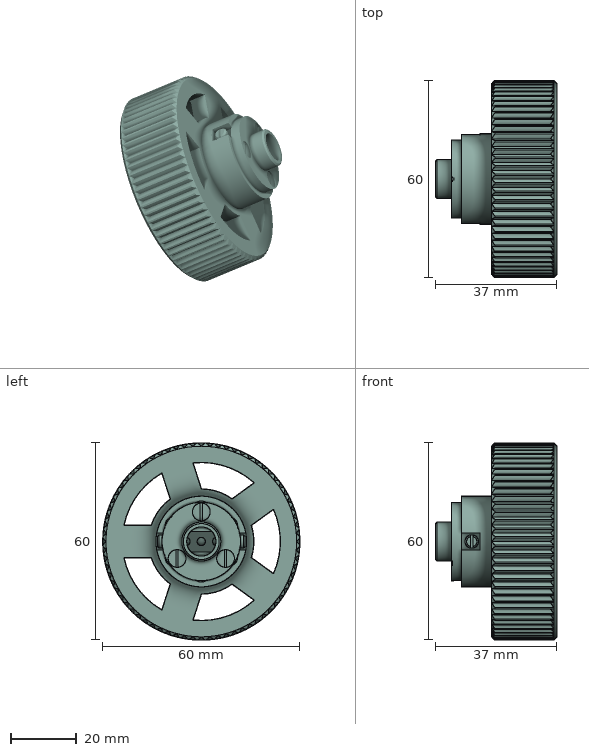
import cadquery as cq
import math


wheel_radius = 30.0
wheel_width = 19.95
rim_bore_radius = 24.5
web_thickness = 5.0
web_fillet = 1.75

groove_count = 72
groove_depth = 1.0
groove_mouth = 2.1
groove_overrun = 0.3

spoke_count = 5
spoke_width = 10.0
window_inner_radius = 16.0
window_outer_radius = 24.0

hub_radius = 13.8
hub_length = 9.2
rear_boss_radius = 8.9
slot_width = 5.05
slot_length = 5.7

hex_across_flats = 21.95
hex_corner_radius = 2.2

flange_radius = 11.95
flange_thickness = 3.0
sleeve_radius = 5.95
sleeve_length = 4.85
sleeve_chamfer = 0.5

bore_radius = 4.45
flat_bore_width = 6.25
bore_floor_x = -3.4

flange_screw_circle = 9.0
flange_screw_radius = 2.7
flange_screw_recess = 0.35
flange_screw_angles = (90.0, -35.0, 215.0)
screw_slot_width = 0.7
screw_slot_depth = 0.5

clamp_screw_x = -6.0
clamp_head_radius = 2.05
clamp_head_top = 13.3
clamp_head_chamfer = 0.5
point_radius = 1.25
point_reach = 1.0

hub_face_x = -hub_length
flange_face_x = hub_face_x - flange_thickness
sleeve_end_x = flange_face_x - sleeve_length
root_radius = wheel_radius - groove_depth
hex_flat = hex_across_flats / 2


def disc(radius, start_x, end_x):
    """Cylinder around the wheel axis."""
    return cq.Workplane("YZ").workplane(offset=start_x).circle(radius).extrude(end_x - start_x)


def hex_prism(start_x, end_x):
    """Hexagon with rounded corners, two of them on the Z axis."""
    corner_diameter = hex_across_flats / math.cos(math.radians(30))
    return (
        cq.Workplane("YZ")
        .workplane(offset=start_x)
        .transformed(rotate=(0, 0, 90))
        .polygon(6, corner_diameter)
        .extrude(end_x - start_x)
        .edges("|X")
        .fillet(hex_corner_radius)
    )


def rim_and_web():
    """Solid wheel hollowed from the rear, leaving the web at the front."""
    blank = disc(wheel_radius, 0, wheel_width).faces("<X or >X").chamfer(groove_depth)
    cavity = disc(rim_bore_radius, web_thickness, wheel_width).faces("<X").edges().fillet(web_fillet)
    rear_boss = disc(rear_boss_radius, 0, wheel_width)
    return blank.cut(cavity).union(rear_boss)


def tread_grooves():
    """V grooves along the tread, one of them on the Y axis, each with a sloping rear end."""
    mouth_edge = math.sqrt(wheel_radius**2 - (groove_mouth / 2) ** 2)
    widening = (mouth_edge + groove_overrun - root_radius) / (mouth_edge - root_radius)
    half_width = groove_mouth / 2 * widening
    top = mouth_edge + groove_overrun
    crest_x = wheel_width - groove_depth
    vee = (
        cq.Workplane("YZ")
        .polyline([(root_radius, 0), (top, half_width), (top, -half_width)])
        .close()
        .extrude(wheel_width)
    )
    side_profile = [
        (0, root_radius),
        (crest_x - groove_depth, root_radius),
        (crest_x - root_radius - groove_depth + top, top),
        (0, top),
    ]
    side = cq.Workplane("XY").polyline(side_profile).close().extrude(half_width, both=True)
    groove = vee.intersect(side).val()
    pitch = 360 / groove_count
    return [groove.rotate((0, 0, 0), (1, 0, 0), i * pitch) for i in range(groove_count)]


def spoke_windows():
    """Ring sectors between straight spokes, the first spoke on +Y."""
    ring = disc(window_outer_radius, 0, web_thickness + web_fillet)
    ring = ring.cut(disc(window_inner_radius, 0, web_thickness + web_fillet))
    for i in range(spoke_count):
        spoke = cq.Workplane("XY").box(
            wheel_width, wheel_radius, spoke_width, centered=(True, False, True)
        )
        ring = ring.cut(spoke.rotate((0, 0, 0), (1, 0, 0), i * 360 / spoke_count))
    return ring


def hub_slots():
    """Slots through both sides of the hub, open at its front face."""
    return (
        cq.Workplane("XY")
        .box(slot_length, 2 * hub_radius, slot_width, centered=(False, True, True))
        .translate((hub_face_x, 0, 0))
    )


def make_wheel():
    wheel = rim_and_web()
    wheel = cq.Workplane(wheel.val().cut(*tread_grooves()))
    wheel = wheel.cut(spoke_windows())
    hub = disc(hub_radius, hub_face_x, 0).cut(hub_slots())
    return wheel.union(hub).cut(hex_prism(hub_face_x, 0))


def adapter_bore():
    """Round bore down to the hub face, then a bore with flats at +Z and -Z."""
    round_bore = disc(bore_radius, sleeve_end_x, bore_floor_x)
    round_bore = round_bore.rotate((0, 0, 0), (1, 0, 0), 90)
    flat_length = bore_floor_x - hub_face_x
    outside_flats = cq.Workplane("XY").box(
        flat_length, 2 * bore_radius, 2 * bore_radius, centered=(False, True, True)
    )
    between_flats = cq.Workplane("XY").box(
        flat_length, 2 * bore_radius, flat_bore_width, centered=(False, True, True)
    )
    flat_sides = outside_flats.cut(between_flats).translate((hub_face_x, 0, 0))
    return round_bore.cut(flat_sides)


def flange_screw_cut(angle):
    """Shallow round recess with a vertical screwdriver slot in its floor."""
    y = flange_screw_circle * math.cos(math.radians(angle))
    z = flange_screw_circle * math.sin(math.radians(angle))
    recess = disc(flange_screw_radius, 0, flange_screw_recess)
    slot_reach = flange_screw_recess + screw_slot_depth
    slot = cq.Workplane("YZ").rect(screw_slot_width, 2 * flange_screw_radius).extrude(slot_reach)
    slot = slot.intersect(disc(flange_screw_radius, 0, slot_reach))
    return recess.union(slot).translate((flange_face_x, y, z))


def clamp_screw_head():
    """Chamfered slotted head standing on the +Y flat of the hexagon."""
    height = clamp_head_top - hex_flat
    head = cq.Workplane("XZ").circle(clamp_head_radius).extrude(-height)
    head = head.faces(">Y").chamfer(clamp_head_chamfer)
    slot = cq.Workplane("XY").box(screw_slot_width, 2 * screw_slot_depth, 2 * clamp_head_radius)
    head = head.cut(slot.translate((0, height, 0)))
    return head.translate((clamp_screw_x, hex_flat, 0))


def domed_points():
    """Balls at the bore wall on both Y sides and at the centre of the bore floor."""
    wall_y = bore_radius + point_radius - point_reach
    centres = [
        (clamp_screw_x, wall_y, 0),
        (clamp_screw_x, -wall_y, 0),
        (bore_floor_x, 0, 0),
    ]
    return [cq.Workplane("XY").sphere(point_radius).translate(centre) for centre in centres]


def make_adapter():
    sleeve = disc(sleeve_radius, sleeve_end_x, flange_face_x).faces("<X").chamfer(sleeve_chamfer)
    adapter = disc(flange_radius, flange_face_x, hub_face_x).union(sleeve)
    adapter = adapter.union(hex_prism(hub_face_x, 0)).cut(adapter_bore())
    for angle in flange_screw_angles:
        adapter = adapter.cut(flange_screw_cut(angle))
    for side in (0, 180):
        adapter = adapter.union(clamp_screw_head().rotate((0, 0, 0), (1, 0, 0), side))
    for point in domed_points():
        adapter = adapter.union(point)
    return adapter


wheel = make_wheel()
adapter = make_adapter()
result = cq.Compound.makeCompound([wheel.val(), adapter.val()])